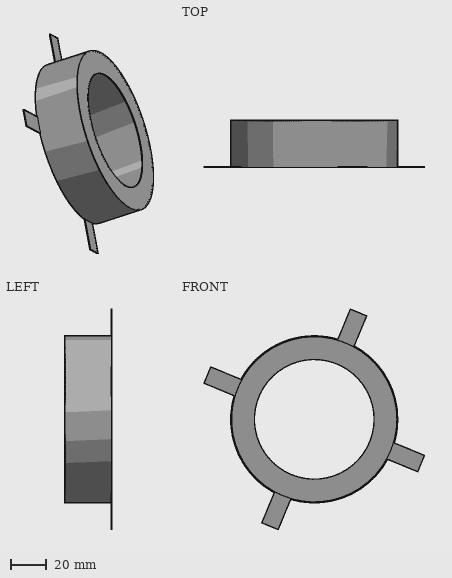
import cadquery as cq
import math

OVERALL_SPAN = 123.9
DEPTH = 26.6
OUTER_DIAMETER = 94.0
BORE_DIAMETER = 67.0
SHEET = 0.6

TAB_COUNT = 4
TAB_WIDTH = 10.0
TAB_ANGLE = 22.5
tilt = math.radians(TAB_ANGLE)
tab_reach = (OVERALL_SPAN / 2 - TAB_WIDTH / 2 * math.sin(tilt)) / math.cos(tilt)

outer_radius = OUTER_DIAMETER / 2
bore_radius = BORE_DIAMETER / 2
cavity_radius = outer_radius - SHEET
cavity_depth = DEPTH - SHEET


def cylinder(radius, depth):
    """Solid cylinder from the front face, running back along +Y."""
    return cq.Workplane("XZ").circle(radius).extrude(-depth)


def make_tab(angle):
    """Radial strip on the front face, turned about the ring axis from +Z."""
    strip = cq.Workplane("XY").box(TAB_WIDTH, SHEET, tab_reach, centered=(True, False, False))
    return strip.rotate((0, 0, 0), (0, 1, 0), angle)


def make_housing():
    """Thin cup with a bored back plate and tabs flush with its front rim."""
    housing = cylinder(outer_radius, DEPTH)
    for index in range(TAB_COUNT):
        housing = housing.union(make_tab(TAB_ANGLE + index * 360 / TAB_COUNT))
    housing = housing.cut(cylinder(cavity_radius, cavity_depth))
    return housing.cut(cylinder(bore_radius, DEPTH))


def make_filler_ring():
    """Ring that fills the cup, flush with its front rim and its bore."""
    return cylinder(cavity_radius, cavity_depth).cut(cylinder(bore_radius, cavity_depth))


housing = make_housing()
filler_ring = make_filler_ring()

result = cq.Compound.makeCompound([housing.val(), filler_ring.val()])